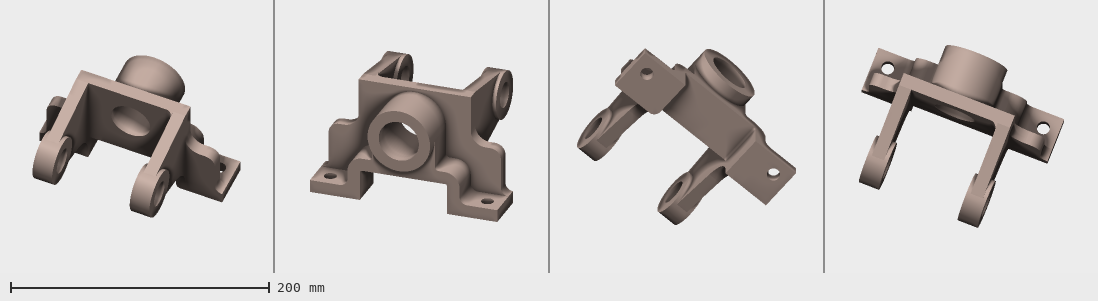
import cadquery as cq
import math

length = 154.1
height = 90.5
plate_thickness = 10.2
foot_depth = 35.6
boss_end = 46.2
axis_height = 61.5

plate_half_width = 46.1
gap_half_width = 35.9
gap_height = 25.5
gap_fillet = 1.8

half_length = length / 2
pad_height = 10.2
pad_fillet = 6.2
front_shoulder_height = 49.3
front_shoulder_radius = 8.6
rear_shoulder_radius = 12.2
rear_root_radius = 3.0
boss_radius = 25.7
boss_bore_radius = 16.5
rear_shoulder_height = axis_height - boss_radius
bolt_hole_x = 64.6
bolt_hole_y = 23.5
bolt_hole_radius = 5.1

pivot_y = -57.6
lug_radius = 19.4
lug_bore_radius = 10.3
lug_width = 16.5
arm_center = (plate_half_width + gap_half_width) / 2
arm_root_height = 7.7
arm_root_radius = 25.5

corner_radius = 6.2


def quarter_arc(sketch, start, end, center):
    """Add a quarter circle from the current point, start, to end."""
    radius = math.dist(start, center)
    bisector = (start[0] + end[0] - 2 * center[0], start[1] + end[1] - 2 * center[1])
    scale = radius / math.hypot(*bisector)
    middle = (center[0] + bisector[0] * scale, center[1] + bisector[1] * scale)
    return sketch.threePointArc(middle, end)


def extrude_along_y(sketch, y_start, y_end):
    """Extrude a closed XZ outline from y_start to y_end."""
    return sketch.extrude(y_start - y_end).translate((0, y_start, 0))


def pad_outline(wall_x):
    """Start a left foot outline: the fillet from the pad up to its wall."""
    fillet_start = (wall_x - pad_fillet, pad_height)
    fillet_end = (wall_x, pad_height + pad_fillet)
    sketch = cq.Workplane("XZ").moveTo(*fillet_start)
    return quarter_arc(sketch, fillet_start, fillet_end, (fillet_start[0], fillet_end[1]))


def front_foot():
    """Left foot in front, sweeping up into the side of the plate."""
    wall_x = -half_length + pad_fillet
    sweep_radius = axis_height - front_shoulder_height
    shoulder_start = (wall_x, front_shoulder_height - front_shoulder_radius)
    shoulder_end = (wall_x + front_shoulder_radius, front_shoulder_height)
    sweep_start = (-plate_half_width - sweep_radius, front_shoulder_height)
    sweep_end = (-plate_half_width, axis_height)
    sketch = pad_outline(wall_x).lineTo(*shoulder_start)
    sketch = quarter_arc(sketch, shoulder_start, shoulder_end, (shoulder_end[0], shoulder_start[1]))
    sketch = sketch.lineTo(*sweep_start)
    sketch = quarter_arc(sketch, sweep_start, sweep_end, (sweep_start[0], sweep_end[1]))
    sketch = sketch.lineTo(0, axis_height).lineTo(0, 0).lineTo(-half_length, 0)
    return extrude_along_y(sketch.close(), 0, plate_thickness)


def rear_foot():
    """Left foot behind the plate, with a wall tangent to the boss."""
    wall_x = -plate_half_width
    shoulder_start = (wall_x, rear_shoulder_height - rear_shoulder_radius)
    shoulder_end = (wall_x + rear_shoulder_radius, rear_shoulder_height)
    root_start = (-boss_radius - rear_root_radius, rear_shoulder_height)
    root_end = (-boss_radius, rear_shoulder_height + rear_root_radius)
    sketch = pad_outline(wall_x).lineTo(*shoulder_start)
    sketch = quarter_arc(sketch, shoulder_start, shoulder_end, (shoulder_end[0], shoulder_start[1]))
    sketch = sketch.lineTo(*root_start)
    sketch = quarter_arc(sketch, root_start, root_end, (root_start[0], root_end[1]))
    sketch = sketch.lineTo(-boss_radius, axis_height).lineTo(0, axis_height).lineTo(0, 0)
    sketch = sketch.lineTo(-half_length, 0).lineTo(-half_length, pad_height)
    return extrude_along_y(sketch.close(), plate_thickness, foot_depth)


def body():
    """Plate, both feet and boss, with the gap, bore and bolt holes."""
    left_feet = front_foot().union(rear_foot())
    plate = cq.Workplane("XY").box(
        2 * plate_half_width, plate_thickness, height, centered=(True, False, False)
    )
    boss = y_cylinder(boss_radius, plate_thickness, boss_end)
    gap = (
        cq.Workplane("XY")
        .box(2 * gap_half_width, foot_depth, gap_height, centered=(True, False, False))
        .edges("|Y and >Z").fillet(gap_fillet)
    )
    bolt_holes = (
        cq.Workplane("XY")
        .pushPoints([(-bolt_hole_x, bolt_hole_y), (bolt_hole_x, bolt_hole_y)])
        .circle(bolt_hole_radius).extrude(pad_height)
    )
    solid = plate.union(left_feet).union(left_feet.mirror("YZ")).union(boss)
    return solid.cut(gap).cut(bolt_holes).cut(y_cylinder(boss_bore_radius, 0, boss_end))


def y_cylinder(radius, y_start, y_end):
    """Cylinder on the boss axis."""
    return extrude_along_y(cq.Workplane("XZ").center(0, axis_height).circle(radius), y_start, y_end)


def arm(center_x):
    """Arm from the plate out to a lug."""
    lug_bottom = (pivot_y, axis_height - lug_radius)
    root_center = (-arm_root_radius, arm_root_height)
    reach_y = lug_bottom[0] - root_center[0]
    reach_z = lug_bottom[1] - root_center[1]
    tangent_angle = math.atan2(reach_z, reach_y) - math.acos(arm_root_radius / math.hypot(reach_y, reach_z))

    def root_point(angle):
        return (
            root_center[0] + arm_root_radius * math.cos(angle),
            root_center[1] + arm_root_radius * math.sin(angle),
        )

    web = (
        cq.Workplane("YZ")
        .moveTo(0, height)
        .lineTo(pivot_y, axis_height + lug_radius)
        .lineTo(*lug_bottom)
        .lineTo(*root_point(tangent_angle))
        .threePointArc(root_point(tangent_angle / 2), root_point(0))
        .lineTo(plate_thickness, arm_root_height)
        .lineTo(plate_thickness, height)
        .close()
        .extrude((plate_half_width - gap_half_width) / 2, both=True)
    )
    pivot = cq.Workplane("YZ").center(pivot_y, axis_height)
    lug = pivot.circle(lug_radius).extrude(lug_width / 2, both=True)
    bore = pivot.circle(lug_bore_radius).extrude(lug_width / 2, both=True)
    return web.union(lug).cut(bore).translate((center_x, 0, 0))


def corner_fillet():
    """Concave fillet between the plate and the inside of the +X arm."""
    block = cq.Workplane("XY").box(
        corner_radius, corner_radius, height - gap_height, centered=False
    ).translate((gap_half_width - corner_radius, -corner_radius, gap_height))
    cutter = (
        cq.Workplane("XY", origin=(gap_half_width - corner_radius, -corner_radius, 0))
        .circle(corner_radius).extrude(height)
    )
    return block.cut(cutter)


def foot_round_cutter():
    """Stock removed to round the inner front edge of the +X foot, domed at its top."""
    round_x = gap_half_width + corner_radius
    dome_base = gap_height - corner_radius
    dome_start = (round_x, dome_base)
    dome_end = (gap_half_width, gap_height)
    sketch = cq.Workplane("XZ").moveTo(gap_half_width, 0).lineTo(round_x, 0).lineTo(*dome_start)
    sketch = quarter_arc(sketch, dome_start, dome_end, (gap_half_width, dome_base))
    stock = extrude_along_y(sketch.close(), -arm_root_radius, corner_radius)
    kept_round = (
        cq.Workplane("XY", origin=(round_x, corner_radius, 0)).circle(corner_radius).extrude(gap_height)
    )
    return stock.cut(kept_round)


result = body()
for side in (-1, 1):
    result = result.union(arm(side * arm_center))
result = result.union(corner_fillet()).cut(foot_round_cutter())